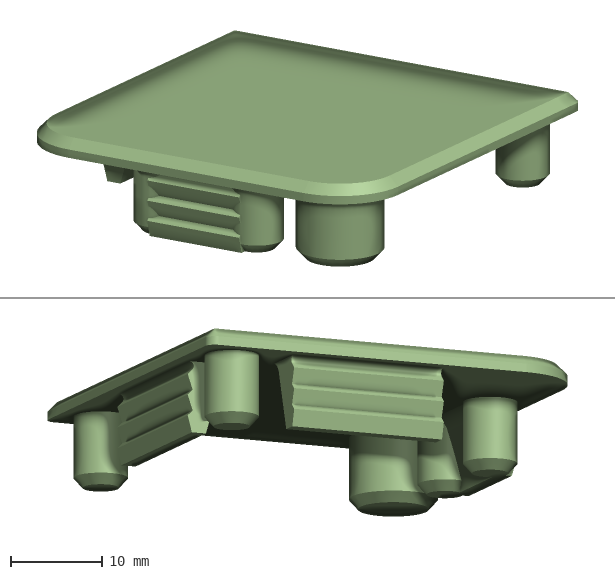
import cadquery as cq

plate_side = 45.5
total_height = 10.0
plate_thickness = 2.05
front_corner_radius = 7.5
back_corner_radius = 1.15
plate_chamfer = 1.1
peg_height = total_height - plate_thickness

peg_diameter = 6.0
large_peg_diameter = 9.8
corner_peg_offset = 18.0
front_peg_x = 6.25
front_peg_y = -18.05
large_peg_x = 15.8
large_peg_y = -16.05
peg_chamfer_height = 1.1
peg_chamfer_inset = 1.0

ridge_distance = 21.3
groove_distance = 20.7
tip_outer_distance = 20.8
tip_inner_distance = 19.1
first_ridge_height = 1.85
ridge_pitch = 2.3
ridge_count = 3
ridge_to_groove = 0.6
root_outer_distance = 21.0
root_inner_distance = 15.8
inner_bend_distance = 17.15
inner_bend_height = 6.5
outer_root_middle = (-20.55, 7.5)
inner_root_middle = (-16.7, 7.4)

clip_end = 5.95
left_clip_far_end = 11.95
back_clip_far_end = 13.4

root_overlap = 0.45


def make_plate():
    plate = cq.Workplane("XY").box(
        plate_side, plate_side, plate_thickness, centered=(True, True, False)
    )
    plate = plate.edges("|Z and <Y").fillet(front_corner_radius)
    plate = plate.edges("|Z and >Y").fillet(back_corner_radius)
    return plate.faces(">Z").chamfer(plate_chamfer).translate((0, 0, peg_height))


def make_peg(x, y, diameter):
    radius = diameter / 2
    tip_radius = radius - peg_chamfer_inset
    profile = [
        (0, 0),
        (tip_radius, 0),
        (radius, peg_chamfer_height),
        (radius, peg_height + root_overlap),
        (0, peg_height + root_overlap),
    ]
    peg = cq.Workplane("XZ").polyline(profile).close().revolve(360, (0, 0), (0, 1))
    return peg.translate((x, y, 0))


def make_clip(start, end):
    """Clip on the -X edge, running along Y from start to end."""
    outline = cq.Workplane("XZ", origin=(0, end, 0)).moveTo(-tip_inner_distance, 0)
    outline = outline.lineTo(-tip_outer_distance, 0)
    for index in range(ridge_count):
        ridge_height = first_ridge_height + index * ridge_pitch
        outline = outline.lineTo(-ridge_distance, ridge_height)
        outline = outline.lineTo(-groove_distance, ridge_height + ridge_to_groove)
    outline = outline.threePointArc(outer_root_middle, (-root_outer_distance, peg_height))
    outline = outline.lineTo(-root_outer_distance, peg_height + root_overlap)
    outline = outline.lineTo(-root_inner_distance, peg_height + root_overlap)
    outline = outline.lineTo(-root_inner_distance, peg_height)
    outline = outline.threePointArc(inner_root_middle, (-inner_bend_distance, inner_bend_height))
    return outline.close().extrude(end - start)


pegs = [
    (-corner_peg_offset, corner_peg_offset, peg_diameter),
    (corner_peg_offset, corner_peg_offset, peg_diameter),
    (-front_peg_x, front_peg_y, peg_diameter),
    (front_peg_x, front_peg_y, peg_diameter),
    (large_peg_x, large_peg_y, large_peg_diameter),
]

clips = [
    (-clip_end, left_clip_far_end, 0),
    (-clip_end, clip_end, 90),
    (-back_clip_far_end, clip_end, -90),
]

result = make_plate()
for peg_x, peg_y, diameter in pegs:
    result = result.union(make_peg(peg_x, peg_y, diameter))
for clip_start, clip_stop, turn in clips:
    result = result.union(make_clip(clip_start, clip_stop).rotate((0, 0, 0), (0, 0, 1), turn))